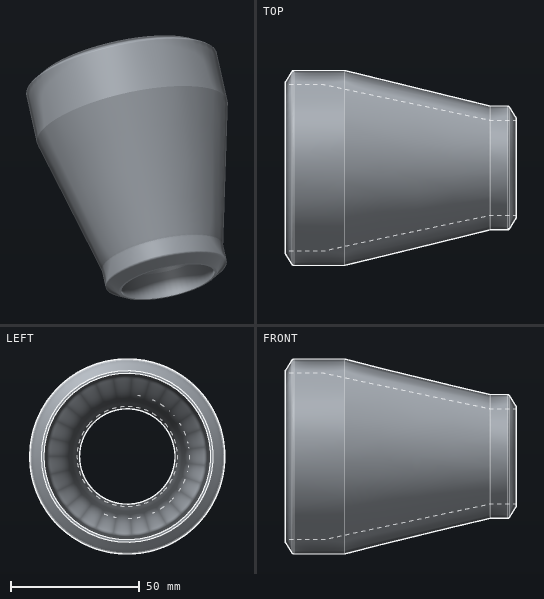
import cadquery as cq
import math

length = 90.0
large_diameter = 76.1
small_diameter = 48.3
large_bore = 64.9
small_bore = 37.1

large_end_length = 23.0
small_end_length = 10.2
large_bore_length = 15.0

land_width = 1.0
bevel_angle = 32.0
bevel_corner_radius = 1.0

neck_radius = 1.0

selection_margin = 0.1

large_radius = large_diameter / 2
small_radius = small_diameter / 2
large_bore_radius = large_bore / 2
small_bore_radius = small_bore / 2
cone_start = large_end_length
cone_end = length - small_end_length


def bevel_depth(outer_radius, bore_radius):
    """Axial depth of a bevel that leaves the flat land at the end face."""
    bevel_height = outer_radius - bore_radius - land_width
    return bevel_height * math.tan(math.radians(bevel_angle))


large_bevel = bevel_depth(large_radius, large_bore_radius)
small_bevel = bevel_depth(small_radius, small_bore_radius)

wall_section = (
    cq.Workplane("XY")
    .moveTo(0, large_bore_radius)
    .lineTo(0, large_bore_radius + land_width)
    .lineTo(large_bevel, large_radius)
    .lineTo(cone_start, large_radius)
    .lineTo(cone_end, small_radius)
    .lineTo(length - small_bevel, small_radius)
    .lineTo(length, small_bore_radius + land_width)
    .lineTo(length, small_bore_radius)
    .lineTo(cone_end, small_bore_radius)
    .lineTo(large_bore_length, large_bore_radius)
    .close()
)
reducer = wall_section.revolve(360, (0, 0, 0), (1, 0, 0))


def corner_slice(corner_x, corner_size):
    """Select the circles at one place along the axis."""
    reach = corner_size + selection_margin
    return cq.selectors.BoxSelector(
        (corner_x - selection_margin, -reach, -reach),
        (corner_x + selection_margin, reach, reach),
        boundingbox=True,
    )


rounded_corners = (
    (large_bevel, large_radius, bevel_corner_radius),
    (length - small_bevel, small_radius, bevel_corner_radius),
    (cone_end, small_radius, neck_radius),
)
outermost = cq.selectors.RadiusNthSelector(-1)
result = reducer
for corner_x, corner_size, rounding in rounded_corners:
    circles = result.edges("%CIRCLE").edges(corner_slice(corner_x, corner_size))
    result = circles.edges(outermost).fillet(rounding)